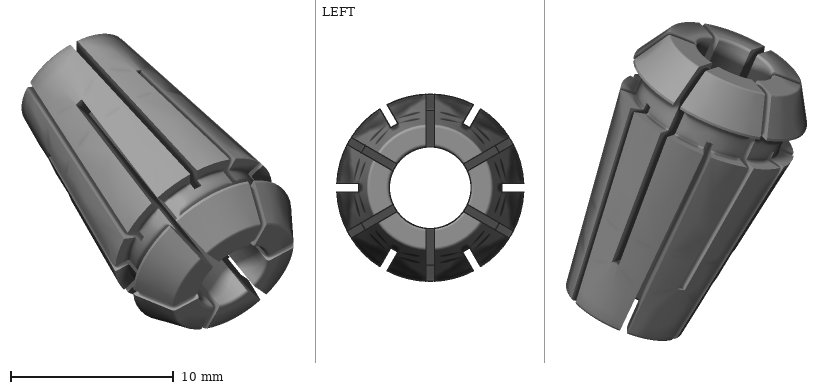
import cadquery as cq
import math

length = 18.0
max_diameter = 11.5
bore_diameter = 5.0
max_radius = max_diameter / 2
bore_radius = bore_diameter / 2

taper_length = 13.5
taper_half_angle = 8.0

groove_end = 15.5
groove_diameter = 9.5
groove_radius = groove_diameter / 2

rim_width = 0.16
collar_half_angle = 30.0

end_edge_fillet = 0.2
groove_corner_fillet = 0.099
smaller_body_circles = 3

slits_per_set = 6
slit_width = 0.5
nose_slit_end = 14.0
tail_slit_start = 4.0
slit_pitch = 360 / slits_per_set


def cone_drop(distance, half_angle):
    """Radius lost along a cone over an axial distance."""
    return distance * math.tan(math.radians(half_angle))


def make_body():
    """Revolve the half section about the X axis and round its edges."""
    rim_end = groove_end + rim_width
    nose_radius = max_radius - cone_drop(taper_length, taper_half_angle)
    tail_radius = max_radius - cone_drop(length - rim_end, collar_half_angle)
    section = (
        cq.Workplane("XY")
        .moveTo(0, bore_radius)
        .lineTo(0, nose_radius)
        .lineTo(taper_length, max_radius)
        .lineTo(taper_length, groove_radius)
        .lineTo(groove_end, groove_radius)
        .lineTo(groove_end, max_radius)
        .lineTo(rim_end, max_radius)
        .lineTo(length, tail_radius)
        .lineTo(length, bore_radius)
        .close()
    )
    body = section.revolve(360, (0, 0, 0), (1, 0, 0))
    groove_corners = cq.selectors.RadiusNthSelector(smaller_body_circles)
    body = body.edges("%CIRCLE").edges(groove_corners).fillet(groove_corner_fillet)
    return body.faces("<X or >X").edges().fillet(end_edge_fillet)


def make_slits(start, end, first_angle):
    """Radial slit cutters from the axis outward, evenly spaced about X."""
    cutter = cq.Workplane("XY").box(end - start, max_diameter, slit_width, centered=(False, False, True))
    cutter = cutter.translate((start, 0, 0))
    slits = cq.Workplane("XY")
    for index in range(slits_per_set):
        angle = first_angle + index * slit_pitch
        slits = slits.add(cutter.rotate((0, 0, 0), (1, 0, 0), angle))
    return slits.combine()


nose_slits = make_slits(0, nose_slit_end, slit_pitch / 2)
tail_slits = make_slits(tail_slit_start, length, 0)

result = make_body().cut(nose_slits).cut(tail_slits)